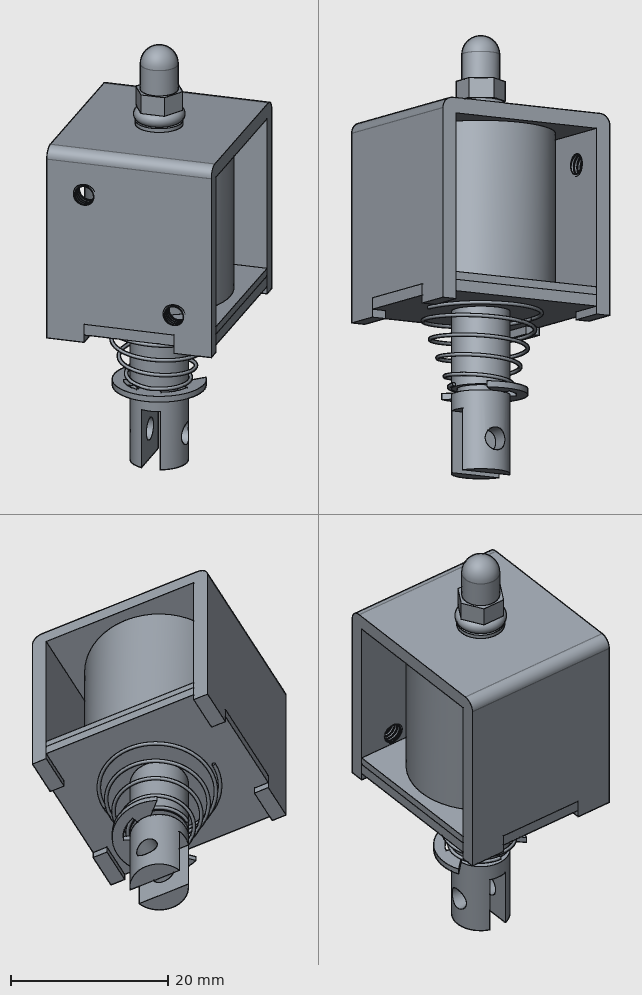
import cadquery as cq
import math


overall_height = 56.6

frame_length = 22.0
frame_width = 25.0
frame_height = 26.0
wall = 2.0
bend_radius = 1.5
inner_width = frame_width - 2 * wall

tapped_hole_offset = 6.0
tapped_hole_depths = {-1: 5.9, 1: 20.9}
thread_major_radius = 1.55
thread_minor_radius = 1.3
thread_pitch = 0.5
thread_groove_width = 0.4
thread_overlap = 0.05
thread_start_angle = 225

coil_radius = 9.5
flange_thickness = 1.0
flange_bottom = -23.5
neck_radius = 3.05
neck_height = 0.5
bore_roof = 2.0

plate_thickness = 1.5
tab_width = 12.0
plate_bottom = flange_bottom - plate_thickness

plunger_radius = 3.75
plunger_bottom = -46.0
plunger_top = -wall - bore_roof
rod_radius = 1.5
fork_slot_width = 2.5
fork_slot_depth = 8.0
cross_hole_radius = 1.5
cross_hole_height = 4.0

clip_radius = 6.0
clip_thickness = 0.8
clip_top = -35.0
clip_recess_radius = 4.6
clip_recess_span = 48
clip_recess_directions = (-135, -45)
groove_radius = 3.0

spring_wire_radius = 0.2
spring_turns = 4
spring_top_radius = 7.75
spring_bottom_radius = 4.0

ring_wire_radius = 0.85
ring_outer_radius = 3.3
nut_bottom = neck_height + 2 * ring_wire_radius
nut_flats = 5.45
nut_hex_top = 4.75
nut_top = overall_height + plunger_bottom
nut_dome_radius = 2.45


def cylinder(radius, bottom, top):
    return cq.Workplane("XY", origin=(0, 0, bottom)).circle(radius).extrude(top - bottom)


def block(length, width, bottom, top):
    return cq.Workplane("XY", origin=(0, 0, bottom)).rect(length, width).extrude(top - bottom)


def thread_groove(x, z):
    """Helical V groove around a tapped hole, running past both faces of the -Y wall."""
    run_out = thread_pitch
    helix = cq.Wire.makeHelix(thread_pitch, wall + 2 * run_out, thread_minor_radius)
    half_groove = thread_groove_width / 2
    root_radius = thread_minor_radius - thread_overlap
    return (
        cq.Workplane("XZ")
        .moveTo(root_radius, -half_groove)
        .lineTo(thread_major_radius, 0)
        .lineTo(root_radius, half_groove)
        .close()
        .sweep(cq.Workplane(obj=helix), isFrenet=True)
        .rotate((0, 0, 0), (0, 0, 1), thread_start_angle)
        .rotate((0, 0, 0), (1, 0, 0), -90)
        .translate((x, -frame_width / 2 - run_out, z))
    )


def tapped_hole_core(x, z):
    wall_inside = -frame_width / 2 + wall
    return cq.Workplane("XZ", origin=(x, wall_inside, z)).circle(thread_minor_radius).extrude(wall)


def make_frame():
    frame = block(frame_length, frame_width, -frame_height, 0).edges("|X and >Z").fillet(bend_radius)
    frame = frame.cut(block(frame_length, inner_width, -frame_height, -wall))
    frame = frame.cut(block(tab_width, frame_width, -frame_height, flange_bottom))
    frame = frame.cut(cylinder(neck_radius, -wall, 0))
    for side, depth in tapped_hole_depths.items():
        x = side * tapped_hole_offset
        frame = frame.cut(thread_groove(x, -depth))
        frame = frame.cut(tapped_hole_core(x, -depth))
    return frame


def make_coil():
    flange = block(frame_length, inner_width, flange_bottom, flange_bottom + flange_thickness)
    winding = cylinder(coil_radius, flange_bottom, -wall)
    neck = cylinder(neck_radius, -wall, neck_height)
    coil = flange.union(winding).union(neck)
    coil = coil.cut(cylinder(plunger_radius, flange_bottom, plunger_top))
    return coil.cut(cylinder(rod_radius, plunger_top, neck_height))


def make_end_plate():
    plate = block(frame_length, inner_width, plate_bottom, flange_bottom)
    tabs = block(tab_width, frame_width, plate_bottom, flange_bottom)
    return plate.union(tabs).cut(cylinder(plunger_radius, plate_bottom, flange_bottom))


def make_plunger():
    plunger = cylinder(plunger_radius, plunger_bottom, plunger_top)
    plunger = plunger.union(cylinder(rod_radius, plunger_top, nut_hex_top))
    clip_bottom = clip_top - clip_thickness
    groove = cylinder(plunger_radius, clip_bottom, clip_top).cut(cylinder(groove_radius, clip_bottom, clip_top))
    fork_slot = block(fork_slot_width, 2 * plunger_radius, plunger_bottom, plunger_bottom + fork_slot_depth)
    cross_hole = (
        cq.Workplane("YZ", origin=(0, 0, plunger_bottom + cross_hole_height))
        .circle(cross_hole_radius)
        .extrude(plunger_radius, both=True)
    )
    return plunger.cut(groove).cut(fork_slot).cut(cross_hole)


def polar_point(radius, degrees):
    return radius * math.cos(math.radians(degrees)), radius * math.sin(math.radians(degrees))


def clip_recess(direction):
    """Widening of the clip bore by an arc centred on a direction given in degrees from +X."""
    start = direction - clip_recess_span / 2
    end = direction + clip_recess_span / 2
    return (
        cq.Workplane("XY", origin=(0, 0, clip_top - clip_thickness))
        .lineTo(*polar_point(clip_recess_radius, start))
        .threePointArc(polar_point(clip_recess_radius, direction), polar_point(clip_recess_radius, end))
        .close()
        .extrude(clip_thickness)
    )


def make_clip():
    """Ring around the -Y half of the groove, with ends that flare outward at 45 degrees.

    Two recesses leave the bore touching the groove only at -Y and near its ends.
    """
    clip_bottom = clip_top - clip_thickness
    clip = cylinder(clip_radius, clip_bottom, clip_top).cut(cylinder(groove_radius, clip_bottom, clip_top))
    opening = (
        cq.Workplane("XY", origin=(0, 0, clip_bottom))
        .moveTo(-groove_radius, 0)
        .lineTo(groove_radius, 0)
        .lineTo(groove_radius + clip_radius, clip_radius)
        .lineTo(-groove_radius - clip_radius, clip_radius)
        .close()
        .extrude(clip_thickness)
    )
    clip = clip.cut(opening)
    for direction in clip_recess_directions:
        clip = clip.cut(clip_recess(direction))
    return clip


def half_turn(radius, z, side):
    """Flat half ring of spring wire from -Y to +Y, bulging to the given side in X."""
    return (
        cq.Workplane("YZ", origin=(0, -radius, z))
        .circle(spring_wire_radius)
        .revolve(180, (radius, 0, 0), (radius, side, 0))
    )


def make_spring():
    """Left-hand conical helix that ends in a flat half turn at the top and at the bottom."""
    bottom = clip_top + spring_wire_radius
    top = plate_bottom - spring_wire_radius
    taper = math.atan2(spring_top_radius - spring_bottom_radius, top - bottom)
    slant_height = (top - bottom) / math.cos(taper)
    helix = cq.Wire.makeHelix(
        slant_height / spring_turns,
        slant_height,
        spring_bottom_radius,
        center=cq.Vector(0, 0, bottom),
        angle=math.degrees(taper),
        lefthand=True,
    ).rotate(cq.Vector(0, 0, 0), cq.Vector(0, 0, 1), -90)
    coils = (
        cq.Workplane("YZ", origin=(0, -spring_bottom_radius, bottom))
        .circle(spring_wire_radius)
        .sweep(cq.Workplane(obj=helix), isFrenet=True)
    )
    bottom_end = half_turn(spring_bottom_radius, bottom, 1)
    top_end = half_turn(spring_top_radius, top, -1)
    return coils.union(bottom_end).union(top_end)


def make_rubber_ring():
    centre_radius = ring_outer_radius - ring_wire_radius
    ring = cq.Solid.makeTorus(centre_radius, ring_wire_radius)
    return cq.Workplane(obj=ring).translate((0, 0, neck_height + ring_wire_radius))


def make_cap_nut():
    hexagon_diameter = nut_flats / math.cos(math.radians(30))
    nut = (
        cq.Workplane("XY", origin=(0, 0, nut_bottom))
        .polygon(6, hexagon_diameter)
        .extrude(nut_hex_top - nut_bottom)
    )
    dome_base = nut_top - nut_dome_radius
    nut = nut.union(cylinder(nut_dome_radius, nut_hex_top, dome_base))
    nut = nut.union(cq.Workplane("XY", origin=(0, 0, dome_base)).sphere(nut_dome_radius))
    return nut.cut(cylinder(rod_radius, nut_bottom, nut_hex_top))


frame = make_frame()
coil = make_coil()
end_plate = make_end_plate()
plunger = make_plunger()
clip = make_clip()
spring = make_spring()
rubber_ring = make_rubber_ring()
cap_nut = make_cap_nut()

result = cq.Compound.makeCompound([
    frame.val(),
    coil.val(),
    end_plate.val(),
    plunger.val(),
    clip.val(),
    spring.val(),
    rubber_ring.val(),
    cap_nut.val(),
])